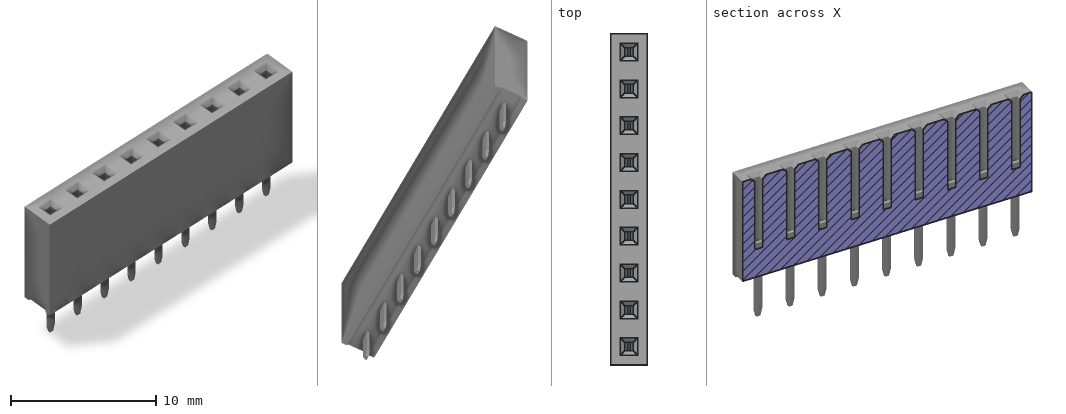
import cadquery as cq

contact_count = 9
body_length = 22.85
body_width = 2.54
body_height = 8.5
pitch = body_length / contact_count

channel_width = 1.7
channel_depth = 0.2

mouth_size = 1.21
well_size = 0.6
mouth_depth = (mouth_size - well_size) / 2
well_depth = 5.95

pin_thickness = 0.2
pin_width = 0.6
pin_tip_width = 0.3
pin_taper_length = 0.57
overall_height = 11.6
blade_height = 0.45

pin_tip_z = body_height - overall_height
well_floor_z = body_height - well_depth

contact_positions = [(i - (contact_count - 1) / 2) * pitch for i in range(contact_count)]


def make_housing():
    """Rectangular housing standing on two feet at Z = 0."""
    housing = cq.Workplane("XY").box(body_width, body_length, body_height, centered=(True, True, False))
    channel = cq.Workplane("XY").box(channel_width, body_length, channel_depth, centered=(True, True, False))
    return housing.cut(channel)


def make_socket(y):
    """Tapered mouth and straight well, as a solid to be cut from the housing."""
    mouth = (
        cq.Workplane("XY", origin=(0, y, body_height))
        .rect(mouth_size, mouth_size)
        .workplane(offset=-mouth_depth)
        .rect(well_size, well_size)
        .loft(ruled=True)
    )
    well = (
        cq.Workplane("XY", origin=(0, y, well_floor_z))
        .rect(well_size, well_size)
        .extrude(well_depth - mouth_depth)
    )
    return mouth.union(well)


def make_blade(y):
    """Upper end of the contact, spanning the well from wall to wall."""
    return cq.Workplane("XY", origin=(0, y, well_floor_z)).box(
        pin_thickness, well_size, blade_height, centered=(True, True, False)
    )


def make_pin(y):
    """Flat pin from the roof of the channel down to its tapered tip."""
    half_width = pin_width / 2
    half_tip = pin_tip_width / 2
    taper_start_z = pin_tip_z + pin_taper_length
    outline = [
        (y - half_width, channel_depth),
        (y - half_width, taper_start_z),
        (y - half_tip, pin_tip_z),
        (y + half_tip, pin_tip_z),
        (y + half_width, taper_start_z),
        (y + half_width, channel_depth),
    ]
    return cq.Workplane("YZ").polyline(outline).close().extrude(pin_thickness / 2, both=True)


result = make_housing()
for contact_y in contact_positions:
    result = result.cut(make_socket(contact_y))
    result = result.union(make_blade(contact_y))
    result = result.union(make_pin(contact_y))